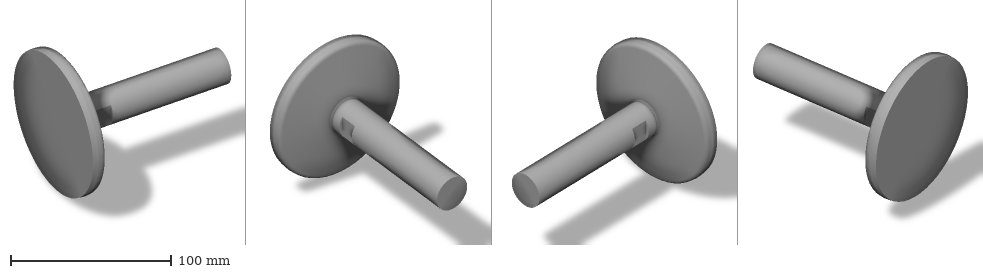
import cadquery as cq
import math

TOTAL_LENGTH = 122.0
STEM_DIAMETER = 24.0

RIM_DIAMETER = 98.0
RIM_HEIGHT = 4.0
WALL_DRAFT = 6.0
CONE_START_HEIGHT = 9.7
SHOULDER_RADIUS = 3.0
CONE_SLOPE = 9.3

COLLAR_RADIUS = 12.9
NECK_HEIGHT = 16.3
STEM_CHAMFER = 0.4

FLATS_START = 23.7
FLATS_LENGTH = 12.5
ACROSS_FLATS = 19.0

stem_radius = STEM_DIAMETER / 2
rim_radius = RIM_DIAMETER / 2
draft_slope = math.tan(math.radians(WALL_DRAFT))


def make_body():
    """Foot and stem as one turned body about the Y axis."""
    sole_radius = rim_radius - RIM_HEIGHT * draft_slope

    cone_angle = math.radians(90 - CONE_SLOPE)
    wall_angle = math.radians(WALL_DRAFT)
    center_height = CONE_START_HEIGHT - SHOULDER_RADIUS * math.sin(cone_angle)
    wall_end_height = center_height + SHOULDER_RADIUS * math.sin(wall_angle)
    wall_end_radius = rim_radius - (wall_end_height - RIM_HEIGHT) * draft_slope
    center_radius = wall_end_radius - SHOULDER_RADIUS * math.cos(wall_angle)

    def shoulder_point(angle):
        return (
            center_radius + SHOULDER_RADIUS * math.cos(angle),
            center_height + SHOULDER_RADIUS * math.sin(angle),
        )

    cone_start = shoulder_point(cone_angle)
    cone_rise = (cone_start[0] - COLLAR_RADIUS) * math.tan(math.radians(CONE_SLOPE))

    profile = (
        cq.Workplane("XY")
        .lineTo(sole_radius, 0)
        .lineTo(rim_radius, RIM_HEIGHT)
        .lineTo(wall_end_radius, wall_end_height)
        .threePointArc(shoulder_point((wall_angle + cone_angle) / 2), cone_start)
        .lineTo(COLLAR_RADIUS, cone_start[1] + cone_rise)
        .lineTo(stem_radius - STEM_CHAMFER, NECK_HEIGHT)
        .lineTo(stem_radius, NECK_HEIGHT + STEM_CHAMFER)
        .lineTo(stem_radius, TOTAL_LENGTH)
        .lineTo(0, TOTAL_LENGTH)
        .close()
    )
    return profile.revolve(360, (0, 0, 0), (0, 1, 0))


def cut_wrench_flats(body):
    """Cut a flat into the stem on its -X and +X sides."""
    depth = stem_radius - ACROSS_FLATS / 2
    for side in (-1, 1):
        cutter = (
            cq.Workplane("XY")
            .box(depth, FLATS_LENGTH, STEM_DIAMETER)
            .translate((side * (stem_radius - depth / 2), FLATS_START + FLATS_LENGTH / 2, 0))
        )
        body = body.cut(cutter)
    return body


result = cut_wrench_flats(make_body())